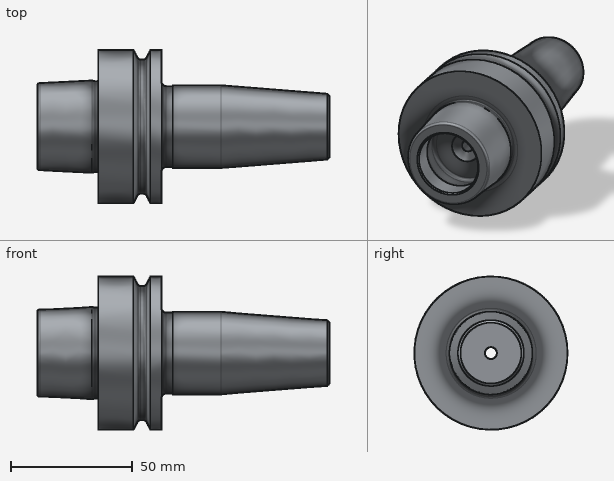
import cadquery as cq
import math


TOTAL_LENGTH = 120.0
FLANGE_START = 25.0
FLANGE_END = 51.0

TAPER_REAR_RADIUS = 17.9
TAPER_SLOPE = 1 / 20
TAPER_END = 22.5
TAPER_REAR_FILLET = 1.0

RELIEF_START = 23.5
RELIEF_RADIUS = 18.7
RELIEF_FILLET = 0.5

FACE_RECESS_RADIUS = 20.9
FACE_RECESS_DEPTH = 0.2

FLANGE_DIAMETER = 63.0
FLANGE_RADIUS = FLANGE_DIAMETER / 2
GROOVE_CENTER = 43.0
GROOVE_TOP_WIDTH = 7.0
GROOVE_FLOOR_WIDTH = 2.9
GROOVE_FLOOR_RADIUS = 27.6
GROOVE_FILLET = 1.2

NECK_RADIUS = 16.7
NECK_END = 55.7
NECK_FILLET = 1.8
SHANK_RADIUS = 17.0
SHANK_END = 75.2
NOSE_RADIUS = 13.5
NOSE_CHAMFER = 1.1

BORE_RADIUS = 13.0
BORE_CHAMFER = 0.6
BORE_DEPTH = 9.6
CHAMBER_RADIUS = 14.4
CHAMBER_SHOULDER_ANGLE = 60.0
CAVITY_DEPTH = 19.9
CAVITY_FLOOR_FILLET = 1.5

SCREW_RADIUS = 6.0
SCREW_LENGTH = 15.0
COOLANT_RADIUS = 2.4
SCREW_MOUTH_ANGLE = 59.0

RING_TOLERANCE = 0.001


def turned(points):
    """Solid of revolution from the corner points (x, radius) of its half section."""
    half_section = cq.Workplane("XY").polyline(points).close()
    return half_section.revolve(360, (0, 0, 0), (1, 0, 0))


def fillet_ring(body, x, ring_radius, fillet_radius):
    """Round the circular edge of the given radius that lies at x."""

    def is_ring(edge):
        return (
            edge.geomType() == "CIRCLE"
            and abs(edge.Center().x - x) < RING_TOLERANCE
            and abs(edge.radius() - ring_radius) < RING_TOLERANCE
        )

    rings = [edge for edge in body.edges().vals() if is_ring(edge)]
    return body.newObject(rings).fillet(fillet_radius)


def make_outer_form():
    """Solid outer shape: taper, relief, flange, neck, shank and tapered nose."""
    recess_floor = FLANGE_START + FACE_RECESS_DEPTH
    form = turned([
        (0, 0),
        (0, TAPER_REAR_RADIUS),
        (TAPER_END, TAPER_REAR_RADIUS + TAPER_END * TAPER_SLOPE),
        (RELIEF_START, RELIEF_RADIUS),
        (recess_floor, RELIEF_RADIUS),
        (FLANGE_START, FACE_RECESS_RADIUS),
        (FLANGE_START, FLANGE_RADIUS),
        (FLANGE_END, FLANGE_RADIUS),
        (FLANGE_END, NECK_RADIUS),
        (NECK_END, NECK_RADIUS),
        (NECK_END, SHANK_RADIUS),
        (SHANK_END, SHANK_RADIUS),
        (TOTAL_LENGTH - NOSE_CHAMFER, NOSE_RADIUS),
        (TOTAL_LENGTH, NOSE_RADIUS - NOSE_CHAMFER),
        (TOTAL_LENGTH, 0),
    ])
    form = fillet_ring(form, 0, TAPER_REAR_RADIUS, TAPER_REAR_FILLET)
    form = fillet_ring(form, recess_floor, RELIEF_RADIUS, RELIEF_FILLET)
    return fillet_ring(form, FLANGE_END, NECK_RADIUS, NECK_FILLET)


def cut_gripper_groove(body):
    """V-groove around the flange, with rounded floor corners."""
    half_top = GROOVE_TOP_WIDTH / 2
    half_floor = GROOVE_FLOOR_WIDTH / 2
    body = body.cut(turned([
        (GROOVE_CENTER - half_top, FLANGE_RADIUS),
        (GROOVE_CENTER - half_floor, GROOVE_FLOOR_RADIUS),
        (GROOVE_CENTER + half_floor, GROOVE_FLOOR_RADIUS),
        (GROOVE_CENTER + half_top, FLANGE_RADIUS),
    ]))
    for side in (-1, 1):
        corner = GROOVE_CENTER + side * half_floor
        body = fillet_ring(body, corner, GROOVE_FLOOR_RADIUS, GROOVE_FILLET)
    return body


def make_cavity():
    """Hollow of the taper: chamfered entry bore opening into the round-floored clamping chamber."""
    shoulder_rise = CHAMBER_RADIUS - BORE_RADIUS
    shoulder_length = shoulder_rise / math.tan(math.radians(CHAMBER_SHOULDER_ANGLE))
    cavity = turned([
        (0, 0),
        (0, BORE_RADIUS + BORE_CHAMFER),
        (BORE_CHAMFER, BORE_RADIUS),
        (BORE_DEPTH, BORE_RADIUS),
        (BORE_DEPTH + shoulder_length, CHAMBER_RADIUS),
        (CAVITY_DEPTH, CHAMBER_RADIUS),
        (CAVITY_DEPTH, 0),
    ])
    return fillet_ring(cavity, CAVITY_DEPTH, CHAMBER_RADIUS, CAVITY_FLOOR_FILLET)


def cylinder_along_x(start, end, radius):
    """Plain cylinder on the X axis."""
    return cq.Workplane("YZ", origin=(start, 0, 0)).circle(radius).extrude(end - start)


def make_holder():
    """Tool holder with its cavity, the seat of the stop screw and the coolant hole."""
    screw_seat = cylinder_along_x(CAVITY_DEPTH, CAVITY_DEPTH + SCREW_LENGTH, SCREW_RADIUS)
    coolant_hole = cylinder_along_x(CAVITY_DEPTH, TOTAL_LENGTH, COOLANT_RADIUS)
    holder = cut_gripper_groove(make_outer_form())
    return holder.cut(make_cavity()).cut(screw_seat).cut(coolant_hole)


def make_stop_screw():
    """Stop screw filling its seat, bored through and opened to a cone at the rear."""
    mouth_depth = (SCREW_RADIUS - COOLANT_RADIUS) / math.tan(math.radians(SCREW_MOUTH_ANGLE))
    screw_end = CAVITY_DEPTH + SCREW_LENGTH
    return turned([
        (CAVITY_DEPTH, SCREW_RADIUS),
        (CAVITY_DEPTH + mouth_depth, COOLANT_RADIUS),
        (screw_end, COOLANT_RADIUS),
        (screw_end, SCREW_RADIUS),
    ])


holder = make_holder()
stop_screw = make_stop_screw()

result = cq.Compound.makeCompound([holder.val(), stop_screw.val()])